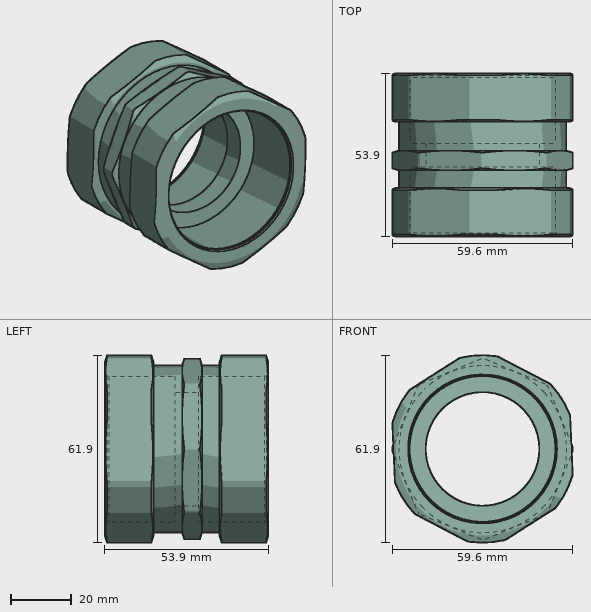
import cadquery as cq
import math

length = 53.9

body_diameter = 55.2
socket_diameter = 48.0
bore_diameter = 37.4
socket_depth = 23.0

nut_length = 16.1
nut_corner_diameter = 61.9
nut_across_flats = 58.75
nut_face_diameter = 57.2
nut_bevel_length = 0.75
nut_sides = 6
nut_turn = 2.5

ring_front_distance = 21.85
ring_length = 6.55
ring_corner_diameter = 59.55
ring_across_flats = 55.45
ring_face_diameter = body_diameter
ring_bevel_length = 0.7
ring_sides = 8

nut_corner_round = 3.1
ring_corner_round = 2.5

mouth_diameter = 49.15
mouth_throat_diameter = 48.3
mouth_depth = 0.6
throat_depth = 1.3

front_y = -length / 2

upright_angle = 90


def polar(radius, angle):
    return (radius * math.cos(math.radians(angle)), radius * math.sin(math.radians(angle)))


def revolve_profile(points):
    """Turn an outline of (radius, y) points about the Y axis."""
    return cq.Workplane("XY").polyline(points).close().revolve(360, (0, 0, 0), (0, 1, 0))


def round_point(center_radius, center_angle, round_radius, direction):
    """Point on a corner round, in the given direction from the centre of that round."""
    center = polar(center_radius, center_angle)
    offset = polar(round_radius, direction)
    return (center[0] + offset[0], center[1] + offset[1])


def wrench_outline(start_y, sides, across_flats, corner_diameter, corner_round, first_corner):
    """Polygon outline with arc corners, each arc eased into its flats by a small tangent round."""
    corner_radius = corner_diameter / 2
    round_center_radius = corner_radius - corner_round
    side_angle = 360 / sides
    round_angle = math.degrees(math.acos((across_flats / 2 - corner_round) / round_center_radius))

    outline = cq.Workplane("XZ", origin=(0, start_y, 0))
    for side in range(sides):
        corner = first_corner + side * side_angle
        flat_before = corner - side_angle / 2
        flat_after = corner + side_angle / 2
        entry = flat_before + round_angle
        leave = flat_after - round_angle

        entry_start = round_point(round_center_radius, entry, corner_round, flat_before)
        entry_middle = round_point(round_center_radius, entry, corner_round, (flat_before + entry) / 2)
        leave_middle = round_point(round_center_radius, leave, corner_round, (flat_after + leave) / 2)
        leave_end = round_point(round_center_radius, leave, corner_round, flat_after)

        if side == 0:
            outline = outline.moveTo(*entry_start)
        else:
            outline = outline.lineTo(*entry_start)
        outline = outline.threePointArc(entry_middle, polar(corner_radius, entry))
        outline = outline.threePointArc(polar(corner_radius, corner), polar(corner_radius, leave))
        outline = outline.threePointArc(leave_middle, leave_end)
    return outline.close()


def beveled_envelope(start_y, depth, face_diameter, corner_diameter, bevel_length):
    """Disc whose two end edges are beveled down to the face diameter."""
    face_radius = face_diameter / 2
    corner_radius = corner_diameter / 2
    end_y = start_y + depth
    return revolve_profile([
        (0, start_y),
        (face_radius, start_y),
        (corner_radius, start_y + bevel_length),
        (corner_radius, end_y - bevel_length),
        (face_radius, end_y),
        (0, end_y),
    ])


def make_nut(start_y):
    first_corner = upright_angle + nut_turn
    outline = wrench_outline(
        start_y, nut_sides, nut_across_flats, nut_corner_diameter, nut_corner_round, first_corner
    )
    envelope = beveled_envelope(
        start_y, nut_length, nut_face_diameter, nut_corner_diameter, nut_bevel_length
    )
    return outline.extrude(-nut_length).intersect(envelope)


def make_ring():
    start_y = front_y + ring_front_distance
    outline = wrench_outline(
        start_y, ring_sides, ring_across_flats, ring_corner_diameter, ring_corner_round, upright_angle
    )
    envelope = beveled_envelope(
        start_y, ring_length, ring_face_diameter, ring_corner_diameter, ring_bevel_length
    )
    return outline.extrude(-ring_length).intersect(envelope)


def make_front_socket():
    """Countersunk socket, opening at the front face and ending on the tube stop."""
    return revolve_profile([
        (0, front_y),
        (mouth_diameter / 2, front_y),
        (mouth_throat_diameter / 2, front_y + mouth_depth),
        (mouth_throat_diameter / 2, front_y + throat_depth),
        (socket_diameter / 2, front_y + throat_depth),
        (socket_diameter / 2, front_y + socket_depth),
        (0, front_y + socket_depth),
    ])


def full_length_cylinder(diameter):
    return cq.Workplane("XZ", origin=(0, front_y, 0)).circle(diameter / 2).extrude(-length)


body = full_length_cylinder(body_diameter)
bore = full_length_cylinder(bore_diameter)
front_socket = make_front_socket()
back_socket = front_socket.mirror("XZ")

result = (
    body.union(make_ring())
    .union(make_nut(front_y))
    .union(make_nut(-front_y - nut_length))
    .cut(bore)
    .cut(front_socket)
    .cut(back_socket)
)